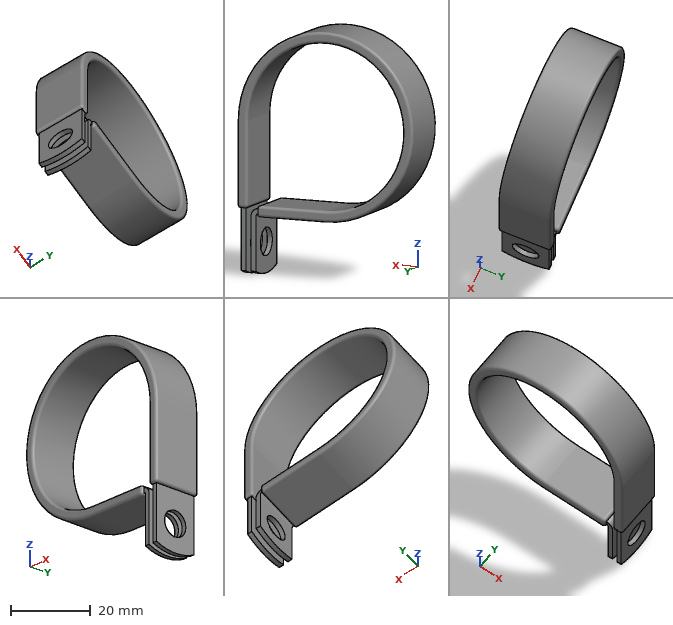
import cadquery as cq
import math

outer_diameter = 48.45
cushion_width = 14.3
cushion_thickness = 2.8
edge_radius = 0.75
lower_run_end = 18.85
upright_run_end = -22.2

strap_thickness = 1.35
strap_width = 12.9
bent_tab_outer_x = 20.75
bend_inner_radius = 0.7
overall_height = 63.85
tip_sag = 1.4
hole_diameter = 7.2
hole_above_tip = 8.05
embed_depth = 1.9

outer_radius = outer_diameter / 2
inner_radius = outer_radius - cushion_thickness
strap_radius = outer_radius - cushion_thickness / 2
strap_outer = strap_radius + strap_thickness / 2
strap_inner = strap_radius - strap_thickness / 2
tip_z = outer_radius - overall_height
bend_outer_radius = bend_inner_radius + strap_thickness


def corner_point(radius):
    """Midpoint of the three-quarter loop, at upper left."""
    return (-radius * math.sqrt(0.5), radius * math.sqrt(0.5))


def extrude_across(profile, width):
    """Extrude an XZ profile symmetrically about Y = 0."""
    return profile.extrude(width / 2, both=True)


def make_cushion():
    profile = (
        cq.Workplane("XZ")
        .moveTo(outer_radius, upright_run_end)
        .lineTo(outer_radius, 0)
        .threePointArc(corner_point(outer_radius), (0, -outer_radius))
        .lineTo(lower_run_end, -outer_radius)
        .lineTo(lower_run_end, -inner_radius)
        .lineTo(0, -inner_radius)
        .threePointArc(corner_point(inner_radius), (inner_radius, 0))
        .lineTo(inner_radius, upright_run_end)
        .close()
    )
    band = extrude_across(profile, cushion_width)
    rims = band.faces("<Y or >Y").edges().vals()
    end_corners = [
        edge
        for edge in band.edges("|Y").vals()
        if edge.Center().x > edge_radius and edge.Center().z < -edge_radius
    ]
    return band.newObject(rims + end_corners).fillet(edge_radius)


def make_straight_tab():
    top_z = upright_run_end + embed_depth
    profile = (
        cq.Workplane("XZ")
        .moveTo(strap_inner, tip_z)
        .lineTo(strap_outer, tip_z)
        .lineTo(strap_outer, top_z)
        .lineTo(strap_inner, top_z)
        .close()
    )
    return extrude_across(profile, strap_width)


def make_bent_tab():
    start_x = lower_run_end - embed_depth
    bend_x = bent_tab_outer_x - bend_outer_radius
    bend_z = -strap_inner - bend_outer_radius
    inner_x = bent_tab_outer_x - strap_thickness
    profile = (
        cq.Workplane("XZ")
        .moveTo(start_x, -strap_inner)
        .lineTo(bend_x, -strap_inner)
        .radiusArc((bent_tab_outer_x, bend_z), bend_outer_radius)
        .lineTo(bent_tab_outer_x, tip_z)
        .lineTo(inner_x, tip_z)
        .lineTo(inner_x, bend_z)
        .radiusArc((bend_x, -strap_outer), -bend_inner_radius)
        .lineTo(start_x, -strap_outer)
        .close()
    )
    return extrude_across(profile, strap_width)


def make_tab_outline():
    """Block along X with the curved tip and screw hole shared by both tabs."""
    half_width = strap_width / 2
    return (
        cq.Workplane("YZ")
        .moveTo(-half_width, 0)
        .lineTo(-half_width, tip_z + tip_sag)
        .threePointArc((0, tip_z), (half_width, tip_z + tip_sag))
        .lineTo(half_width, 0)
        .close()
        .moveTo(0, tip_z + hole_above_tip)
        .circle(hole_diameter / 2)
        .extrude(outer_radius)
    )


tabs = make_straight_tab().union(make_bent_tab()).intersect(make_tab_outline())
result = make_cushion().union(tabs)